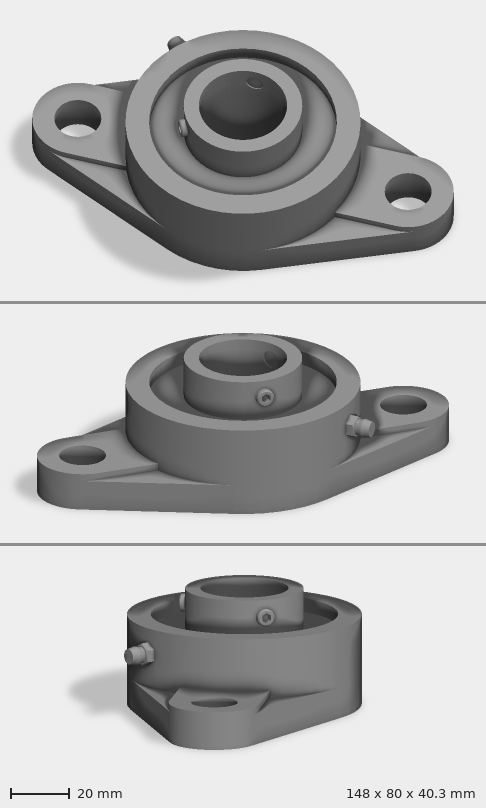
import cadquery as cq
import math

body_radius = 80.0 / 2
body_height = 31.2
recess_radius = 64.0 / 2
recess_depth = 4.9
ear_offset = 58.5
ear_radius = 15.5
ear_height = 13.2
web_height = 10.7
bolt_hole_diameter = 16.0

ring_radius = 40.4 / 2
bore_radius = 30.0 / 2
ring_top = 40.3

screw_angles = (90, 210)
screw_diameter = 6.0
screw_height = 34.3
screw_outer_reach = 22.2
screw_chamfer = 0.5
screw_inner_recess = 0.3
socket_across_corners = 3.5
socket_depth = 2.2

nipple_angle = 135
nipple_height = 22.3
nipple_root = 37.0
hex_across_flats = 7.0
hex_across_corners = hex_across_flats / math.cos(math.pi / 6)
hex_chamfer_start = 42.3
hex_end = 42.9
hex_end_radius = 3.3
neck_radius = 2.8
neck_end = 43.7
head_radius = 3.3
head_widest = 45.3
nipple_tip = 48.1
tip_radius = 2.7


def cylinder(radius, height):
    return cq.Workplane("XY").circle(radius).extrude(height)


def radial_plane(angle, distance, height):
    """Plane facing outward at a given angle, distance from the bearing axis and height."""
    direction = (math.cos(math.radians(angle)), math.sin(math.radians(angle)), 0)
    origin = (direction[0] * distance, direction[1] * distance, height)
    return cq.Plane(origin=origin, xDir=(0, 0, 1), normal=direction)


def make_web():
    """Plate whose straight sides are tangent to the body and the ears."""
    slope = (body_radius - ear_radius) / ear_offset
    rise = math.sqrt(1 - slope**2)
    body_x, body_y = body_radius * slope, body_radius * rise
    ear_x, ear_y = ear_offset + ear_radius * slope, ear_radius * rise
    upper_edge = [(-ear_x, ear_y), (-body_x, body_y), (body_x, body_y), (ear_x, ear_y)]
    lower_edge = [(-x, -y) for x, y in upper_edge]
    return cq.Workplane("XY").polyline(upper_edge + lower_edge).close().extrude(web_height)


def make_housing():
    ears = (
        cq.Workplane("XY")
        .slot2D(2 * (ear_offset + ear_radius), 2 * ear_radius)
        .extrude(ear_height)
    )
    bolt_holes = (
        cq.Workplane("XY")
        .pushPoints([(-ear_offset, 0), (ear_offset, 0)])
        .circle(bolt_hole_diameter / 2)
        .extrude(ear_height)
    )
    recess = cylinder(recess_radius, recess_depth).translate((0, 0, body_height - recess_depth))
    return cylinder(body_radius, body_height).union(make_web()).union(ears).cut(recess).cut(bolt_holes)


def make_screw(angle):
    length = screw_outer_reach - bore_radius - screw_inner_recess
    plane = radial_plane(angle, screw_outer_reach - length, screw_height)
    return (
        cq.Workplane(plane)
        .circle(screw_diameter / 2)
        .extrude(length)
        .edges(cq.selectors.DirectionMinMaxSelector(plane.zDir))
        .chamfer(screw_chamfer)
    )


def make_socket(angle):
    return (
        cq.Workplane(radial_plane(angle, screw_outer_reach, screw_height))
        .polygon(6, socket_across_corners)
        .extrude(-socket_depth)
    )


def make_screw_hole(angle):
    """Clear end of the threaded hole where it opens into the bore."""
    return (
        cq.Workplane(radial_plane(angle, 0, screw_height))
        .circle(screw_diameter / 2)
        .extrude(bore_radius + screw_inner_recess)
    )


def revolve_on_nipple_axis(profile):
    """Revolve (radius, distance) points about the axis of the nipple."""
    turned = cq.Workplane("XZ").polyline(profile).close().revolve(360, (0, 0), (0, 1))
    return cq.Workplane(turned.val().moved(cq.Location(radial_plane(nipple_angle, 0, nipple_height))))


def make_nipple():
    hexagon = (
        cq.Workplane(radial_plane(nipple_angle, nipple_root, nipple_height))
        .polygon(6, hex_across_corners)
        .extrude(hex_end - nipple_root)
    )
    hex_envelope = [
        (0, nipple_root),
        (hex_across_corners / 2, nipple_root),
        (hex_across_corners / 2, hex_chamfer_start),
        (hex_end_radius, hex_end),
        (0, hex_end),
    ]
    head_profile = [
        (0, nipple_root),
        (neck_radius, nipple_root),
        (neck_radius, neck_end),
        (head_radius, head_widest),
        (tip_radius, nipple_tip),
        (0, nipple_tip),
    ]
    chamfered_hexagon = hexagon.intersect(revolve_on_nipple_axis(hex_envelope))
    return chamfered_hexagon.union(revolve_on_nipple_axis(head_profile))


result = make_housing().union(cylinder(ring_radius, ring_top)).cut(cylinder(bore_radius, ring_top))
for screw_angle in screw_angles:
    result = result.cut(make_screw_hole(screw_angle))
    result = result.union(make_screw(screw_angle))
    result = result.cut(make_socket(screw_angle))
result = result.union(make_nipple())